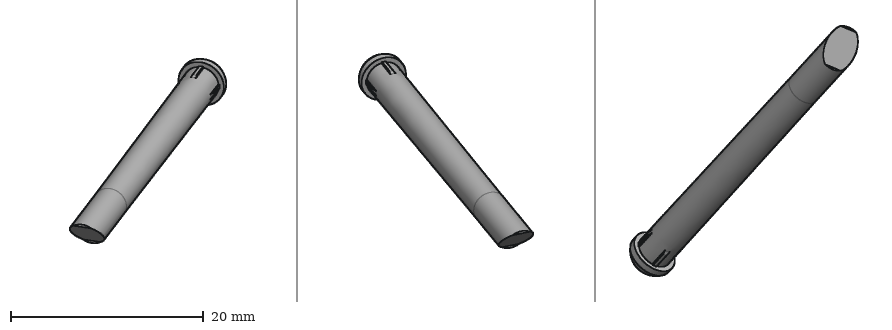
import cadquery as cq

length = 40.5
head_diameter = 5.0

dome_height = 1.6
collar_thickness = 0.8

shank_root_diameter = 3.85
shank_tip_diameter = 3.6
straight_length = 8.83

tip_flat_height = 0.3

rib_base_width = 0.6
rib_crown_width = 0.4
rib_length = 2.65
rib_ramp_length = 0.6
rib_radius = 2.02
rib_foot_radius = 1.85

tip_y = -length / 2
dome_top_y = length / 2
collar_top_y = dome_top_y - dome_height
collar_bottom_y = collar_top_y - collar_thickness
taper_end_y = tip_y + straight_length
head_radius = head_diameter / 2
root_radius = shank_root_diameter / 2
tip_radius = shank_tip_diameter / 2


def make_body():
    """Revolve the domed head, tapered shank and straight end about Y."""
    dome_radius = (head_radius**2 + dome_height**2) / (2 * dome_height)
    dome_mid_x = head_radius / 2
    dome_mid_y = dome_top_y - dome_radius + (dome_radius**2 - dome_mid_x**2) ** 0.5
    return (
        cq.Workplane("XY")
        .moveTo(0, tip_y)
        .lineTo(tip_radius, tip_y)
        .lineTo(tip_radius, taper_end_y)
        .lineTo(root_radius, collar_bottom_y)
        .lineTo(head_radius, collar_bottom_y)
        .lineTo(head_radius, collar_top_y)
        .threePointArc((dome_mid_x, dome_mid_y), (0, dome_top_y))
        .close()
        .revolve(360, (0, 0, 0), (0, 1, 0))
    )


def make_tip_cutter():
    """Wedge removed from the underside of the tip."""
    slant_z = tip_radius - tip_flat_height
    slant_run = 2 * slant_z
    return (
        cq.Workplane("YZ")
        .moveTo(tip_y, slant_z)
        .lineTo(tip_y + slant_run, -slant_z)
        .lineTo(tip_y + slant_run, -head_radius)
        .lineTo(tip_y, -head_radius)
        .close()
        .extrude(head_radius, both=True)
    )


def make_rib(angle):
    """Rib with sloping sides and a ramped end, turned about Y to the given angle."""
    rib_end_y = collar_bottom_y - rib_length
    half_base = rib_base_width / 2
    half_crown = rib_crown_width / 2
    bar = (
        cq.Workplane("XZ", origin=(0, collar_bottom_y, 0))
        .moveTo(-half_base, 0)
        .lineTo(-half_base, rib_foot_radius)
        .lineTo(-half_crown, rib_radius)
        .lineTo(half_crown, rib_radius)
        .lineTo(half_base, rib_foot_radius)
        .lineTo(half_base, 0)
        .close()
        .extrude(rib_length)
    )
    side_profile = (
        cq.Workplane("YZ")
        .moveTo(collar_bottom_y, 0)
        .lineTo(collar_bottom_y, rib_radius)
        .lineTo(rib_end_y + rib_ramp_length, rib_radius)
        .lineTo(rib_end_y, rib_foot_radius)
        .lineTo(rib_end_y, 0)
        .close()
        .extrude(half_base, both=True)
    )
    return bar.intersect(side_profile).rotate((0, 0, 0), (0, 1, 0), angle)


result = make_body().cut(make_tip_cutter())
for rib_angle in (0, 90, 180, 270):
    result = result.union(make_rib(rib_angle))